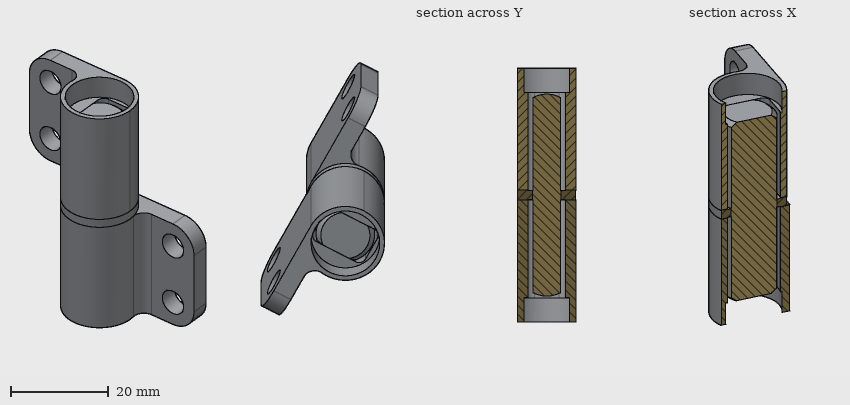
import cadquery as cq
import math

total_height = 52.0
total_width = 43.0
barrel_diameter = 16.0
washer_thickness = 2.0

plate_thickness = 4.0
corner_radius = 5.5
screw_hole_diameter = 5.5
root_fillet_radius = 2.5

bore_diameter = 14.05
bore_depth = 5.0
pin_diameter = 12.0
pin_width = 8.0
pin_chamfer = 1.0
slot_length = 12.1
slot_corner_radius = 1.5

barrel_radius = barrel_diameter / 2
leaf_height = (total_height - washer_thickness) / 2
leaf_bottom = washer_thickness / 2
leaf_top = leaf_bottom + leaf_height
bore_floor = leaf_top - bore_depth
plate_end = -total_width / 2
plate_back = barrel_radius
plate_front = plate_back - plate_thickness


def leaf_blank():
    """Barrel and flat plate in one outline, blended by a concave arc."""
    fillet_y = plate_front - root_fillet_radius
    center_distance = barrel_radius + root_fillet_radius
    fillet_x = -math.sqrt(center_distance**2 - fillet_y**2)
    barrel_share = barrel_radius / center_distance
    barrel_tangent = (fillet_x * barrel_share, fillet_y * barrel_share)
    angle_to_barrel = math.atan2(-fillet_y, -fillet_x)
    middle_angle = (angle_to_barrel + math.pi / 2) / 2
    fillet_middle = (
        fillet_x + root_fillet_radius * math.cos(middle_angle),
        fillet_y + root_fillet_radius * math.sin(middle_angle),
    )
    outline = (
        cq.Workplane("XY", origin=(0, 0, leaf_bottom))
        .moveTo(0, plate_back)
        .lineTo(plate_end, plate_back)
        .lineTo(plate_end, plate_front)
        .lineTo(fillet_x, plate_front)
        .threePointArc(fillet_middle, barrel_tangent)
        .threePointArc((0, -barrel_radius), (barrel_radius, 0))
        .threePointArc((barrel_radius * math.sqrt(0.5), barrel_radius * math.sqrt(0.5)), (0, plate_back))
        .close()
    )
    return outline.extrude(leaf_height).edges("|Y and <X").fillet(corner_radius)


def screw_holes():
    """Two holes through the plate, concentric with its rounded corners."""
    hole_x = plate_end + corner_radius
    hole_heights = (leaf_bottom + corner_radius, leaf_top - corner_radius)
    return (
        cq.Workplane("XZ", origin=(0, plate_back, 0))
        .pushPoints([(hole_x, height) for height in hole_heights])
        .circle(screw_hole_diameter / 2)
        .extrude(plate_thickness)
    )


def end_bore():
    """Round recess in the outer end of the barrel."""
    return cq.Workplane("XY", origin=(0, 0, bore_floor)).circle(bore_diameter / 2).extrude(bore_depth)


def pin_slot():
    """Rounded rectangular passage for the flat-sided pin."""
    return (
        cq.Workplane("XY", origin=(0, 0, leaf_bottom))
        .rect(pin_width, slot_length)
        .extrude(bore_floor - leaf_bottom)
        .edges("|Z")
        .fillet(slot_corner_radius)
    )


def make_leaf(turn):
    """Hinge leaf, turned about the Y axis by the given angle in degrees."""
    leaf = leaf_blank().cut(screw_holes()).cut(end_bore()).cut(pin_slot())
    return leaf.rotate((0, 0, 0), (0, 1, 0), turn)


def make_washer():
    """Spacer ring between the two barrels."""
    return (
        cq.Workplane("XY", origin=(0, 0, -washer_thickness / 2))
        .circle(barrel_radius)
        .circle(pin_diameter / 2)
        .extrude(washer_thickness)
    )


def make_pin():
    """Chamfered round pin with two flats, flush with both bore floors."""
    pin_length = 2 * bore_floor
    rod = (
        cq.Workplane("XY", origin=(0, 0, -bore_floor))
        .circle(pin_diameter / 2)
        .extrude(pin_length)
        .faces("<Z or >Z")
        .edges()
        .chamfer(pin_chamfer)
    )
    flats = cq.Workplane("XY").box(pin_width, pin_diameter, pin_length)
    return rod.intersect(flats)


leaves = [make_leaf(turn) for turn in (0, 180)]
washer = make_washer()
pin = make_pin()

result = cq.Compound.makeCompound([*(leaf.val() for leaf in leaves), washer.val(), pin.val()])